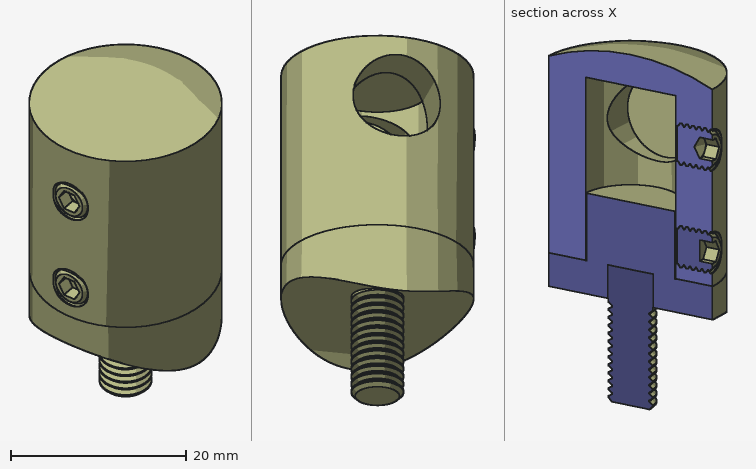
import cadquery as cq
import math

body_diameter = 22.0
body_radius = body_diameter / 2
overall_height = 42.45
dome_height = 2.2
shoulder_z = overall_height - dome_height
seam_z = 16.43
bore_diameter = 12.0
bore_roof_thickness = 1.7
bore_top_z = shoulder_z - bore_roof_thickness

bar_hole_diameter = 10.2
bar_hole_z = 32.85
bar_hole_end_wall = 3.4
bar_hole_length = body_diameter - bar_hole_end_wall

tube_radius = 16.85
saddle_apex_z = 12.4
spigot_diameter = 11.9
spigot_top_z = 24.6

stud_crest_diameter = 6.0
stud_root_diameter = 5.0
stud_crest_width = 0.15
stud_root_width = 0.1
stud_tip_diameter = 5.05
stud_tip_height = 0.45
stud_ring_count = 13
stud_last_ring_z = 11.95
stud_pitch = (stud_last_ring_z - stud_tip_height) / (stud_ring_count - 1)

screw_crest_diameter = 5.0
screw_root_diameter = 4.2
screw_pitch = 0.8
screw_crest_width = 0.13
screw_root_width = 0.1
screw_first_crest = 0.13
screw_ring_count = 6
screw_face_diameter = 3.75
screw_length = body_radius - bore_diameter / 2
socket_across_flats = 2.5
socket_turn = 30
socket_depth = 1.7
drill_point_depth = 0.72
screw_spacing = 12.4
upper_screw_z = bar_hole_z
lower_screw_z = upper_screw_z - screw_spacing


def ring_thread_points(start, count, pitch, crest_radius, root_radius, crest_width, root_width):
    """Points (radius, height) along a row of V-shaped thread rings; each ring starts at its crest."""
    flank = (pitch - crest_width - root_width) / 2
    points = []
    for i in range(count):
        crest_end = start + i * pitch + crest_width
        points.append((crest_radius, crest_end - crest_width))
        points.append((crest_radius, crest_end))
        points.append((root_radius, crest_end + flank))
        points.append((root_radius, crest_end + flank + root_width))
    return points


def turned(points):
    """Solid of revolution about Z from (radius, height) points."""
    return cq.Workplane("XZ").polyline(points).close().revolve(360, (0, 0), (0, 1))


def into_housing(solid, z):
    """Turn a solid built along +Z to run along +Y, starting at the -Y side of the housing."""
    return solid.rotate((0, 0, 0), (1, 0, 0), -90).translate((0, -body_radius, z))


def make_screw_thread():
    """Full thread form of a set screw along +Z, which is also the shape of its tapped hole."""
    crest = screw_crest_diameter / 2
    root = screw_root_diameter / 2
    flank = (screw_pitch - screw_crest_width - screw_root_width) / 2
    mouth = crest - (crest - root) * screw_first_crest / flank
    rings = ring_thread_points(
        screw_first_crest, screw_ring_count, screw_pitch,
        crest, root, screw_crest_width, screw_root_width,
    )
    thread = turned([(0, 0), (mouth, 0), *rings, (0, rings[-1][1])])
    length_limit = cq.Workplane("XY").circle(screw_crest_diameter).extrude(screw_length)
    return thread.intersect(length_limit)


def make_set_screw(z, has_drill_point):
    """Set screw with a 45 degree chamfer at its face and a hexagonal socket."""
    face_radius = screw_face_diameter / 2
    chamfer_envelope = turned(
        [(0, 0), (face_radius, 0), (face_radius + screw_length, screw_length), (0, screw_length)]
    )
    socket = (
        cq.Workplane("XY")
        .transformed(rotate=(0, 0, socket_turn))
        .polygon(6, socket_across_flats, circumscribed=True)
        .extrude(socket_depth)
    )
    screw = make_screw_thread().intersect(chamfer_envelope).cut(socket)
    if has_drill_point:
        drill_point = turned(
            [
                (0, socket_depth),
                (socket_across_flats / 2, socket_depth),
                (0, socket_depth + drill_point_depth),
            ]
        )
        screw = screw.cut(drill_point)
    return into_housing(screw, z)


def make_housing():
    """Domed post head with its bore, bar hole and two tapped holes."""
    dome_radius = (body_radius**2 + dome_height**2) / (2 * dome_height)
    dome_centre_z = overall_height - dome_radius
    half_angle = math.asin(body_radius / dome_radius) / 2
    dome_middle = (
        dome_radius * math.sin(half_angle),
        dome_centre_z + dome_radius * math.cos(half_angle),
    )
    body = (
        cq.Workplane("XZ")
        .moveTo(0, seam_z)
        .lineTo(body_radius, seam_z)
        .lineTo(body_radius, shoulder_z)
        .threePointArc(dome_middle, (0, overall_height))
        .close()
        .revolve(360, (0, 0), (0, 1))
    )
    bore = (
        cq.Workplane("XY", origin=(0, 0, seam_z))
        .circle(bore_diameter / 2)
        .extrude(bore_top_z - seam_z)
    )
    bar_hole = (
        cq.Workplane("YZ", origin=(-body_radius, 0, bar_hole_z))
        .circle(bar_hole_diameter / 2)
        .extrude(bar_hole_length)
    )
    body = body.cut(bore).cut(bar_hole)
    for z in (upper_screw_z, lower_screw_z):
        body = body.cut(into_housing(make_screw_thread(), z))
    return body


def make_saddle():
    """Saddle with a spigot above it and a blind hole for the stud."""
    blank = cq.Workplane("XY").circle(body_radius).extrude(seam_z)
    spigot = (
        cq.Workplane("XY", origin=(0, 0, seam_z))
        .circle(spigot_diameter / 2)
        .extrude(spigot_top_z - seam_z)
    )
    tube = (
        cq.Workplane("XZ", origin=(0, body_radius, saddle_apex_z - tube_radius))
        .circle(tube_radius)
        .extrude(body_diameter)
    )
    stud_hole = cq.Workplane("XY").circle(stud_crest_diameter / 2).extrude(seam_z)
    return blank.cut(tube).union(spigot).cut(stud_hole)


def make_stud():
    """Stud from its tapered tip up to the seam level."""
    crest = stud_crest_diameter / 2
    rings = ring_thread_points(
        stud_tip_height, stud_ring_count, stud_pitch,
        crest, stud_root_diameter / 2, stud_crest_width, stud_root_width,
    )
    rings_to_shank = rings[:-3]
    return turned(
        [(0, 0), (stud_tip_diameter / 2, 0), *rings_to_shank, (crest, seam_z), (0, seam_z)]
    )


housing = make_housing()
saddle = make_saddle()
stud = make_stud()
set_screws = [
    make_set_screw(z, has_drill_point)
    for z, has_drill_point in ((upper_screw_z, True), (lower_screw_z, False))
]

result = cq.Compound.makeCompound(
    [housing.val(), saddle.val(), stud.val(), *[screw.val() for screw in set_screws]]
)